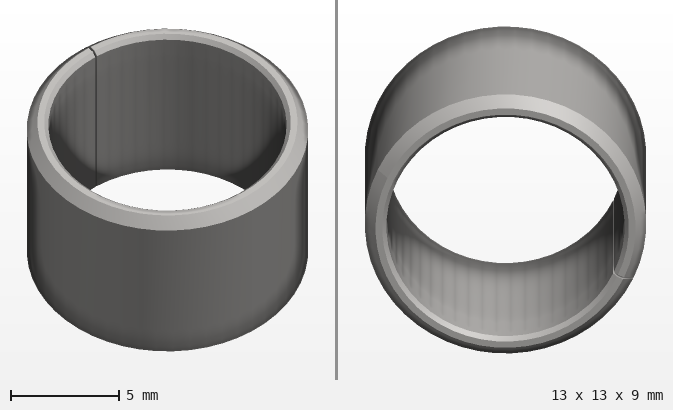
import cadquery as cq

outer_diameter = 13.0
bore_diameter = 11.0
height = 9.0
outer_chamfer = 0.5
bore_chamfer = 0.2
slit_width = 0.1

outer_radius = outer_diameter / 2
bore_radius = bore_diameter / 2


def make_sleeve():
    """Revolve the wall section, chamfered at all four corners."""
    half_height = height / 2
    section = [
        (bore_radius, -half_height + bore_chamfer),
        (bore_radius + bore_chamfer, -half_height),
        (outer_radius - outer_chamfer, -half_height),
        (outer_radius, -half_height + outer_chamfer),
        (outer_radius, half_height - outer_chamfer),
        (outer_radius - outer_chamfer, half_height),
        (bore_radius + bore_chamfer, half_height),
        (bore_radius, half_height - bore_chamfer),
    ]
    return cq.Workplane("XZ").polyline(section).close().revolve(360, (0, 0), (0, 1))


def make_slit():
    """Full-height cutter reaching from the axis out through the -X wall."""
    return cq.Workplane("XY").box(outer_diameter, slit_width, height).translate((-outer_radius, 0, 0))


result = make_sleeve().cut(make_slit())